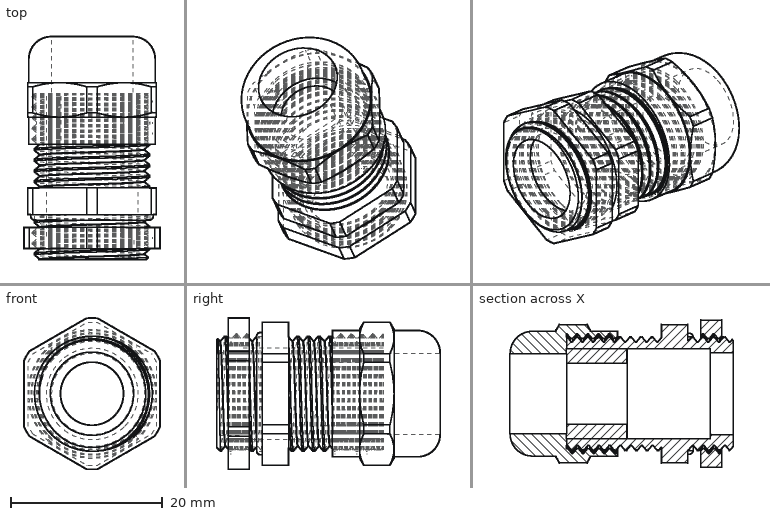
import cadquery as cq
import math


BODY_FRONT = 0.0
LOCKNUT_FRONT = 1.5
LOCKNUT_LENGTH = 2.8
BODY_HEX_FRONT = 6.0
BODY_HEX_LENGTH = 3.5
BODY_HEX_REAR = BODY_HEX_FRONT + BODY_HEX_LENGTH
CAP_FRONT = 15.25
CAP_HEX_FRONT = 18.85
CAP_HEX_REAR = 23.4
CAP_REAR = 29.5
CAP_SHOULDER = 22.0
SEAL_FRONT = 14.0

GLAND_HEX_FLATS = 17.0
GLAND_HEX_CORNERS = 18.9
LOCKNUT_FLATS = 18.0
LOCKNUT_CORNERS = 20.0
HEX_BEVEL_ANGLE = 30.0

PITCH = 25.4 / 18
THREAD_RADIUS = 15.2 / 2
ROOT_RADIUS = 13.86 / 2
CREST_WIDTH = 0.22
FLANK_ANGLE = 40.0
RIDGE_SINK = 0.2
FRONT_THREAD_CREST = 1.5
REAR_THREAD_CREST = 15.28
THREAD_END_RADIUS = 7.1
FEMALE_BORE_RADIUS = 7.35
FEMALE_ROOT_RADIUS = 7.95
FEMALE_ROOT_WIDTH = 0.1
THREAD_CLIP_MARGIN = 0.5
THREAD_CLIP_RADIUS = FEMALE_ROOT_RADIUS + THREAD_CLIP_MARGIN

MOUTH_RADIUS = 5.5
MOUTH_DEPTH = 3.05
BODY_BORE_RADIUS = 6.05
SEAL_BORE_RADIUS = 4.15
CAP_RADIUS = 8.36
DOME_FILLET = 3.0
CAP_OPENING_RADIUS = CAP_RADIUS - DOME_FILLET
GASKET_RADIUS = 8.1
GASKET_THICKNESS = 0.75
GASKET_FILLET = 0.55


def cylinder(radius, start, end):
    """Round bar on the Y axis, from Y = start to Y = end."""
    bar = cq.Solid.makeCylinder(radius, end - start, cq.Vector(0, start, 0), cq.Vector(0, 1, 0))
    return cq.Workplane(bar)


def turned(profile):
    """Solid of revolution about Y from (radius, y) points."""
    return cq.Workplane("XY").polyline(profile).close().revolve(360, (0, 0, 0), (0, 1, 0))


def hexagon(flats, corners, start, end):
    """Hexagonal prism along Y with its corners rounded to a circle."""
    prism = (
        cq.Workplane("XZ", origin=(0, start, 0))
        .transformed(rotate=(0, 0, 30))
        .polygon(6, flats / math.cos(math.pi / 6))
        .extrude(start - end)
    )
    return prism.intersect(cylinder(corners / 2, start, end))


def thread_ridge(base_radius, crest_radius, crest_width, crest_y, start, end):
    """Right-handed helical ridge that covers Y = start to end and has a crest on +X at crest_y."""
    first = crest_y + PITCH * math.floor((start - crest_y) / PITCH - 1)
    turns = math.ceil((end - first) / PITCH + 1)
    half_crest = crest_width / 2
    half_base = half_crest + (crest_radius - base_radius) * math.tan(math.radians(FLANK_ANGLE))
    section = [
        (base_radius - RIDGE_SINK, -half_base),
        (base_radius, -half_base),
        (crest_radius, -half_crest),
        (crest_radius, half_crest),
        (base_radius, half_base),
        (base_radius - RIDGE_SINK, half_base),
    ]
    edges = [cq.Wire.makeHelix(PITCH, turns * PITCH, radius, cq.Vector(0, 0, z)) for radius, z in section]
    next_edges = edges[1:] + edges[:1]
    faces = [cq.Face.makeRuledSurface(*pair) for pair in zip(edges, next_edges)]
    for corners in ([edge.startPoint() for edge in edges], [edge.endPoint() for edge in edges]):
        faces.append(cq.Face.makeFromWires(cq.Wire.makePolygon(corners, close=True)))
    ridge = cq.Workplane(cq.Solid.makeSolid(cq.Shell.makeShell(faces)))
    return ridge.rotate((0, 0, 0), (1, 0, 0), -90).translate((0, first, 0))


def threaded_bar(crest_y, start, end):
    """Root cylinder with the male thread, cut square at both ends."""
    ridge = thread_ridge(ROOT_RADIUS, THREAD_RADIUS, CREST_WIDTH, crest_y, start, end)
    bar = cylinder(ROOT_RADIUS, start, end)
    return bar.union(ridge.intersect(cylinder(THREAD_CLIP_RADIUS, start, end)))


def thread_bore(crest_y, start, end):
    """Cutting shape for a female thread around a male thread with a crest at crest_y."""
    groove = thread_ridge(FEMALE_BORE_RADIUS, FEMALE_ROOT_RADIUS, FEMALE_ROOT_WIDTH, crest_y, start, end)
    bore = cylinder(FEMALE_BORE_RADIUS, start, end)
    return bore.union(groove.intersect(cylinder(THREAD_CLIP_RADIUS, start, end)))


def make_body():
    """Hollow body: a hexagon between two threaded ends, with a narrower mouth at the front."""
    chamfer = THREAD_CLIP_RADIUS - THREAD_END_RADIUS
    front_envelope = turned([
        (0, BODY_FRONT),
        (THREAD_END_RADIUS, BODY_FRONT),
        (THREAD_CLIP_RADIUS, BODY_FRONT + chamfer),
        (THREAD_CLIP_RADIUS, BODY_HEX_FRONT),
        (0, BODY_HEX_FRONT),
    ])
    front = threaded_bar(FRONT_THREAD_CREST, BODY_FRONT, BODY_HEX_FRONT).intersect(front_envelope)
    rear = threaded_bar(REAR_THREAD_CREST, BODY_HEX_REAR, CAP_SHOULDER)
    middle = hexagon(GLAND_HEX_FLATS, GLAND_HEX_CORNERS, BODY_HEX_FRONT, BODY_HEX_REAR)
    body = middle.union(front).union(rear)
    mouth_rear = BODY_FRONT + MOUTH_DEPTH
    body = body.cut(cylinder(MOUTH_RADIUS, BODY_FRONT, mouth_rear))
    return body.cut(cylinder(BODY_BORE_RADIUS, mouth_rear, CAP_SHOULDER))


def make_gasket():
    """Sealing ring against the front of the body's hexagon, with a rounded outer front edge."""
    front = BODY_HEX_FRONT - GASKET_THICKNESS
    disc = cylinder(GASKET_RADIUS, front, BODY_HEX_FRONT).faces("<Y").edges().fillet(GASKET_FILLET)
    return disc.cut(cylinder(THREAD_RADIUS, front, BODY_HEX_FRONT))


def make_locknut():
    """Locknut with a female thread that runs clear of the male thread."""
    rear = LOCKNUT_FRONT + LOCKNUT_LENGTH
    nut = hexagon(LOCKNUT_FLATS, LOCKNUT_CORNERS, LOCKNUT_FRONT, rear)
    return nut.cut(thread_bore(FRONT_THREAD_CREST, LOCKNUT_FRONT, rear))


def make_cap():
    """Domed cap nut with a bevelled hexagon around its middle."""
    hexagon_part = hexagon(GLAND_HEX_FLATS, GLAND_HEX_CORNERS, CAP_HEX_FRONT, CAP_HEX_REAR)
    flat_radius = GLAND_HEX_FLATS / 2
    corner_radius = GLAND_HEX_CORNERS / 2
    bevel_length = (corner_radius - flat_radius) * math.tan(math.radians(HEX_BEVEL_ANGLE))
    bevel_envelope = turned([
        (0, CAP_HEX_FRONT),
        (flat_radius, CAP_HEX_FRONT),
        (corner_radius, CAP_HEX_FRONT + bevel_length),
        (corner_radius, CAP_HEX_REAR - bevel_length),
        (flat_radius, CAP_HEX_REAR),
        (0, CAP_HEX_REAR),
    ])
    dome = cylinder(CAP_RADIUS, CAP_FRONT, CAP_REAR).faces(">Y").edges().fillet(DOME_FILLET)
    cap = dome.union(hexagon_part.intersect(bevel_envelope))
    cap = cap.cut(thread_bore(REAR_THREAD_CREST, CAP_FRONT, CAP_SHOULDER))
    return cap.cut(cylinder(CAP_OPENING_RADIUS, CAP_SHOULDER, CAP_REAR))


def make_seal():
    """Rubber sleeve in the rear of the body's bore, held by the shoulder of the cap."""
    sleeve = cylinder(BODY_BORE_RADIUS, SEAL_FRONT, CAP_SHOULDER)
    return sleeve.cut(cylinder(SEAL_BORE_RADIUS, SEAL_FRONT, CAP_SHOULDER))


body = make_body()
gasket = make_gasket()
locknut = make_locknut()
cap = make_cap()
seal = make_seal()

result = cq.Compound.makeCompound([body.val(), gasket.val(), locknut.val(), cap.val(), seal.val()])